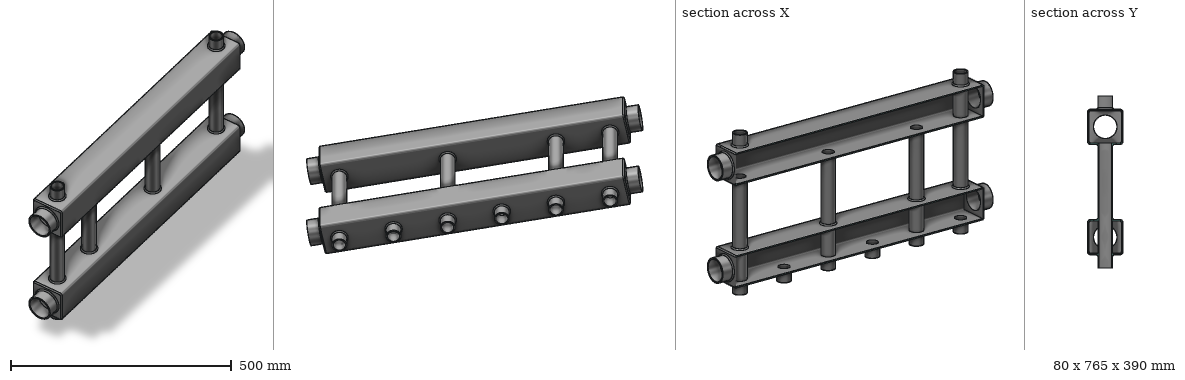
import cadquery as cq

total_length = 765.0
total_height = 390.0

header_width = 80.0
header_spacing = 250.0
header_corner_radius = 7.0
header_wall = 4.0
cap_thickness = 4.0
cap_chamfer = 3.0

port_diameter = 60.0
port_bore = 53.0
port_length = 30.0

pipe_diameter = 34.0
pipe_bore = 27.5
pipe_count = 6
pipe_pitch = header_spacing / 2
lower_header_pipes = (2, 4)
upper_header_pipes = (1, 3, 5)
riser_pipe = 0
upper_outlet_pipe = 5

weld_size = 3.0

header_length = total_length - 2 * port_length
half_width = header_width / 2
lower_z = -header_spacing / 2
upper_z = header_spacing / 2
bottom_z = -total_height / 2
top_z = total_height / 2
pipe_y = [(i - (pipe_count - 1) / 2) * pipe_pitch for i in range(pipe_count)]


def square_bar(z, side, length, corner_radius):
    """Square bar along Y with rounded long edges, centred at height z."""
    bar = cq.Workplane("XY").box(side, length, side)
    return bar.edges("|Y").fillet(corner_radius).translate((0, 0, z))


def full_length_rod(z, diameter):
    """Cylinder along Y over the whole length of the part, at height z."""
    return cq.Workplane("XZ").center(0, z).circle(diameter / 2).extrude(total_length / 2, both=True)


def weld(root, direction, diameter):
    """Conical weld bead on a header face, around a pipe leaving along direction."""
    radius = diameter / 2
    cone = cq.Solid.makeCone(
        radius + weld_size, radius, weld_size, cq.Vector(*root), cq.Vector(*direction)
    )
    return cq.Workplane(cone)


def header(z):
    """Hollow, capped header tube with a port stub on each end."""
    tube = square_bar(z, header_width, header_length, header_corner_radius)
    tube = tube.faces("<Y or >Y").edges().chamfer(cap_chamfer)
    cavity = square_bar(
        z,
        header_width - 2 * header_wall,
        header_length - 2 * cap_thickness,
        header_corner_radius - header_wall,
    )
    ports = full_length_rod(z, port_diameter)
    bore = full_length_rod(z, port_bore)
    body = tube.union(ports)
    for side in (-1, 1):
        body = body.union(weld((0, side * header_length / 2, z), (0, side, 0), port_diameter))
    return body.cut(cavity).cut(bore)


def rod(y, z_start, z_end, diameter):
    """Vertical cylinder between two heights."""
    return cq.Workplane("XY", origin=(0, y, z_start)).circle(diameter / 2).extrude(z_end - z_start)


def add_pipe(body, y, z_start, z_end):
    """Add a pipe, its bore, and a weld bead wherever it leaves a header face."""
    body = body.union(rod(y, z_start, z_end, pipe_diameter))
    for header_z in (lower_z, upper_z):
        for side in (-1, 1):
            face_z = header_z + side * half_width
            if z_start <= face_z <= z_end:
                body = body.union(weld((0, y, face_z), (0, 0, side), pipe_diameter))
    return body.cut(rod(y, z_start, z_end, pipe_bore))


lower_floor = lower_z - half_width + header_wall
lower_ceiling = lower_z + half_width - header_wall
upper_floor = upper_z - half_width + header_wall
upper_ceiling = upper_z + half_width - header_wall

result = header(lower_z).union(header(upper_z))
for index in lower_header_pipes + (riser_pipe,):
    result = add_pipe(result, pipe_y[index], bottom_z, lower_floor)
for index in upper_header_pipes:
    result = add_pipe(result, pipe_y[index], bottom_z, upper_floor)
result = add_pipe(result, pipe_y[riser_pipe], lower_ceiling, top_z)
result = add_pipe(result, pipe_y[upper_outlet_pipe], upper_ceiling, top_z)